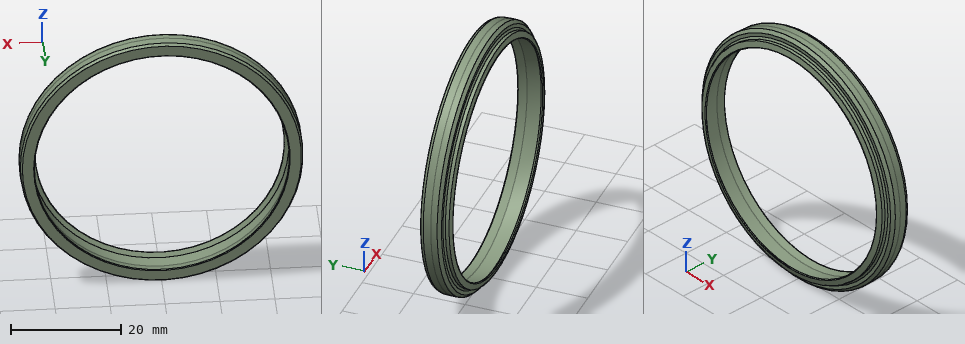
import cadquery as cq

outer_radius = 25.75
width = 5.3

rim_width = 3.95
rim_front_chamfer = 0.6
rim_back_chamfer_width = 0.6
rim_back_chamfer_depth = 0.3
rim_taper_start = 2.1
rim_taper_depth = 0.05

spigot_radius = 24.0
root_chamfer_depth = 0.4
root_chamfer_width = 0.3
nose_width = 0.3
nose_radius = 22.8

lip_radius = 22.65
lip_mouth_width = 0.2
lip_back_slope_width = 0.6
bore_radius = 23.45
bore_taper_start = 1.75
bore_taper_depth = 0.3
back_edge_chamfer = 0.15

back_bore_radius = bore_radius - bore_taper_depth
lip_depth = width - lip_mouth_width
rim_back_radius = outer_radius - rim_taper_depth

section = [
    (back_bore_radius + back_edge_chamfer, 0),
    (rim_back_radius - rim_back_chamfer_depth, 0),
    (rim_back_radius, rim_back_chamfer_width),
    (outer_radius, rim_taper_start),
    (outer_radius, rim_width - rim_front_chamfer),
    (outer_radius - rim_front_chamfer, rim_width),
    (spigot_radius + root_chamfer_depth, rim_width),
    (spigot_radius, rim_width + root_chamfer_width),
    (spigot_radius, width - nose_width),
    (nose_radius, width),
    (lip_radius, lip_depth),
    (bore_radius, lip_depth - lip_back_slope_width),
    (bore_radius, bore_taper_start),
    (back_bore_radius, back_edge_chamfer),
]

back_y = width / 2
result = (
    cq.Workplane("XY")
    .polyline([(radius, back_y - depth) for radius, depth in section])
    .close()
    .revolve(360, (0, 0, 0), (0, 1, 0))
)